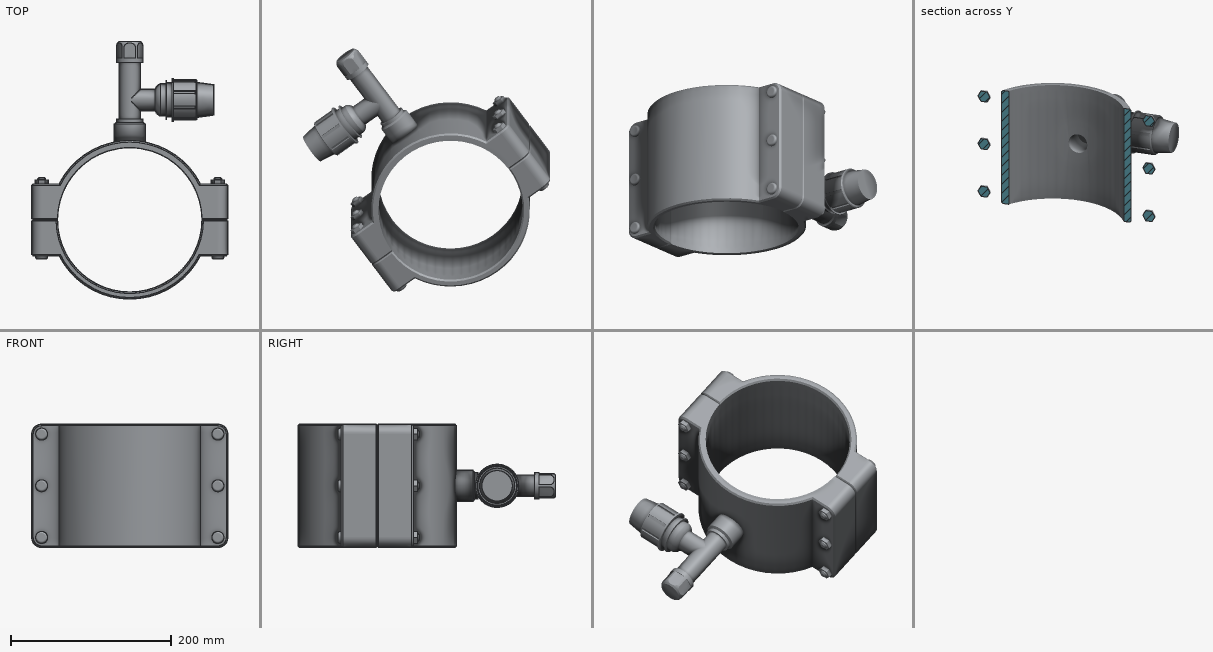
import cadquery as cq
import math

CLAMP_HEIGHT = 154.0
CLAMP_WIDTH = 245.0
BORE_RADIUS = 90.0
SHELL_RADIUS = 99.0
EAR_FACE = 45.0
EAR_CORNER_RADIUS = 12.5
EDGE_CHAMFER = 2.0
BORE_CHAMFER = 2.0
PARTING_GAP = 0.5
PARTING_CHAMFER = 1.5

BOLT_X = CLAMP_WIDTH / 2 - EAR_CORNER_RADIUS
BOLT_PITCH = CLAMP_HEIGHT / 2 - EAR_CORNER_RADIUS
BOLT_RADIUS = 5.0
BOLT_END = 53.0
BOLT_END_CHAMFER = 2.0
HEAD_RADIUS = 7.5
HEAD_HEIGHT = 4.0
HEAD_ROUNDING = HEAD_RADIUS - BOLT_RADIUS
NUT_ACROSS_FLATS = 14.5
NUT_HEIGHT = 5.0

OUTLET_RADIUS = 12.5
TUBE_RADIUS = 27.26 / 2
COLLAR_RADIUS = 33.32 / 2
SOCKET_RADIUS = 39.38 / 2
SOCKET_SHOULDER = 119.5
SOCKET_TOP = 121.6
COLLAR_TOP = 125.6
CAP_COLLAR_BOTTOM = 196.4
CAP_HEX_BOTTOM = 202.0
CAP_TOP = 222.65
CAP_ACROSS_FLATS = 30.29
CAP_CROWN_HEIGHT = 6.0
CAP_CROWN_DEPTH_AT_FLATS = 1.8

BRANCH_Y = 149.7
BODY_RADIUS = 40.5 / 2
NECK_RADIUS = 43.2 / 2
DISC_RADIUS = 48.6 / 2
FLANGE_RADIUS = 54.0 / 2
SHOULDER_START = 31.8
SHOULDER_END = 38.2
SHOULDER_BULGE = 1.0
DISC_START = 45.0
DISC_END = 46.0
FLANGE_START = 52.8
FLANGE_END = 54.8

GRIP_RADIUS = 25.2
GRIP_END = 83.8
GRIP_CHAMFER = 1.0
GROOVE_COUNT = 8
GROOVE_WIDTH = 4.0
GROOVE_DEPTH = 2.0
GROOVE_END = 81.5
TAPER_START_RADIUS = 22.0
TAPER_END_RADIUS = 19.0
COUPLING_END = 105.0


def rod(radius, start, end):
    """Cylinder about the Y axis."""
    return cq.Workplane("XZ", origin=(0, start, 0)).circle(radius).extrude(start - end)


def hex_rod(across_flats, start, end):
    """Hexagonal bar along Y with corners toward +X and -X."""
    across_corners = across_flats / math.cos(math.pi / 6)
    return cq.Workplane("XZ", origin=(0, start, 0)).polygon(6, across_corners).extrude(start - end)


def pipe_space():
    return cq.Workplane("XY").circle(BORE_RADIUS).extrude(CLAMP_HEIGHT / 2, both=True)


def chamfered_pipe_space():
    """Pipe bore that widens at both rims."""
    top = CLAMP_HEIGHT / 2
    rim_radius = BORE_RADIUS + BORE_CHAMFER
    profile = [
        (0, -top),
        (rim_radius, -top),
        (BORE_RADIUS, -top + BORE_CHAMFER),
        (BORE_RADIUS, top - BORE_CHAMFER),
        (rim_radius, top),
        (0, top),
    ]
    return cq.Workplane("XZ").polyline(profile).close().revolve(360, (0, 0, 0), (0, 1, 0))


def half_clamp():
    """Half shell with its two ears on the +Y side, without the bore."""
    parting_face = PARTING_GAP / 2
    ear_length = EAR_FACE - parting_face
    ears = (
        cq.Workplane("XY", origin=(0, parting_face + ear_length / 2, 0))
        .box(CLAMP_WIDTH, ear_length, CLAMP_HEIGHT)
        .edges("|Y")
        .fillet(EAR_CORNER_RADIUS)
        .faces(">Y")
        .chamfer(EDGE_CHAMFER)
        .faces("<Y")
        .chamfer(PARTING_CHAMFER)
    )
    shell_start = parting_face + PARTING_CHAMFER
    half_space = cq.Workplane("XY", origin=(0, shell_start + SHELL_RADIUS, 0)).box(
        2 * SHELL_RADIUS, 2 * SHELL_RADIUS, CLAMP_HEIGHT
    )
    shell = (
        cq.Workplane("XY")
        .circle(SHELL_RADIUS)
        .extrude(CLAMP_HEIGHT / 2, both=True)
        .faces("<Z or >Z")
        .chamfer(EDGE_CHAMFER)
        .intersect(half_space)
    )
    return ears.union(shell)


def bolt():
    """Bolt along Y with a round head on the -Y ear and a hexagonal nut on the +Y ear."""
    head = rod(HEAD_RADIUS, -EAR_FACE - HEAD_HEIGHT, -EAR_FACE)
    head = head.faces("<Y").edges().fillet(HEAD_ROUNDING)
    shank = rod(BOLT_RADIUS, -EAR_FACE, BOLT_END).faces(">Y").chamfer(BOLT_END_CHAMFER)
    nut = hex_rod(NUT_ACROSS_FLATS, EAR_FACE, EAR_FACE + NUT_HEIGHT)
    return head.union(shank).union(nut)


def clamp():
    half = half_clamp()
    body = half.cut(pipe_space())
    body = body.union(half.mirror("XZ").cut(chamfered_pipe_space()))
    for x in (-BOLT_X, BOLT_X):
        for z in (-BOLT_PITCH, 0, BOLT_PITCH):
            body = body.union(bolt().translate((x, 0, z)))
    return body


def cap_hexagon():
    """Hexagonal head of the cap, with its corners turned down and its crown rounded."""
    envelope = (
        cq.Workplane("XY")
        .moveTo(0, CAP_HEX_BOTTOM)
        .lineTo(COLLAR_RADIUS, CAP_HEX_BOTTOM)
        .lineTo(COLLAR_RADIUS, CAP_TOP - CAP_CROWN_HEIGHT)
        .threePointArc((CAP_ACROSS_FLATS / 2, CAP_TOP - CAP_CROWN_DEPTH_AT_FLATS), (TUBE_RADIUS, CAP_TOP))
        .lineTo(0, CAP_TOP)
        .close()
        .revolve(360, (0, 0, 0), (0, 1, 0))
    )
    return hex_rod(CAP_ACROSS_FLATS, CAP_HEX_BOTTOM, CAP_TOP).intersect(envelope)


def riser():
    """Socket, tube and cap about the Y axis, starting on the curved pipe surface."""
    profile = [
        (0, 0),
        (SOCKET_RADIUS, 0),
        (SOCKET_RADIUS, SOCKET_SHOULDER),
        (COLLAR_RADIUS, SOCKET_TOP),
        (COLLAR_RADIUS, COLLAR_TOP),
        (TUBE_RADIUS, COLLAR_TOP),
        (TUBE_RADIUS, CAP_COLLAR_BOTTOM),
        (COLLAR_RADIUS, CAP_COLLAR_BOTTOM),
        (COLLAR_RADIUS, CAP_HEX_BOTTOM),
        (0, CAP_HEX_BOTTOM),
    ]
    stem = cq.Workplane("XY").polyline(profile).close().revolve(360, (0, 0, 0), (0, 1, 0))
    return stem.cut(pipe_space()).union(cap_hexagon())


def grip_groove(angle):
    """Cutter for one lengthwise groove of the grip nut, turned about the branch axis."""
    length = GROOVE_END - FLANGE_END
    return (
        cq.Workplane("XY", origin=(FLANGE_END + length / 2, 0, GRIP_RADIUS))
        .box(length, GROOVE_WIDTH, 2 * GROOVE_DEPTH)
        .rotate((0, 0, 0), (1, 0, 0), angle)
    )


def branch():
    """Branch tube and coupling, turned about the X axis and then moved out to the riser."""
    after_shoulder = [
        (DISC_START, BODY_RADIUS),
        (DISC_START, DISC_RADIUS),
        (DISC_END, DISC_RADIUS),
        (DISC_END, NECK_RADIUS),
        (FLANGE_START, NECK_RADIUS),
        (FLANGE_START, FLANGE_RADIUS),
        (FLANGE_END, FLANGE_RADIUS),
        (FLANGE_END, GRIP_RADIUS),
        (GRIP_END - GRIP_CHAMFER, GRIP_RADIUS),
        (GRIP_END, GRIP_RADIUS - GRIP_CHAMFER),
        (GRIP_END, TAPER_START_RADIUS),
        (COUPLING_END, TAPER_END_RADIUS),
        (COUPLING_END, 0),
    ]
    body = (
        cq.Workplane("XY")
        .lineTo(0, TUBE_RADIUS)
        .lineTo(SHOULDER_START, TUBE_RADIUS)
        .sagittaArc((SHOULDER_END, BODY_RADIUS), SHOULDER_BULGE)
        .polyline(after_shoulder, includeCurrent=True)
        .close()
        .revolve(360, (0, 0, 0), (1, 0, 0))
    )
    pitch_angle = 360 / GROOVE_COUNT
    for i in range(GROOVE_COUNT):
        body = body.cut(grip_groove((i + 0.5) * pitch_angle))
    return body.translate((0, BRANCH_Y, 0))


outlet = rod(OUTLET_RADIUS, 0, SOCKET_TOP)
result = clamp().union(riser()).union(branch()).cut(outlet)